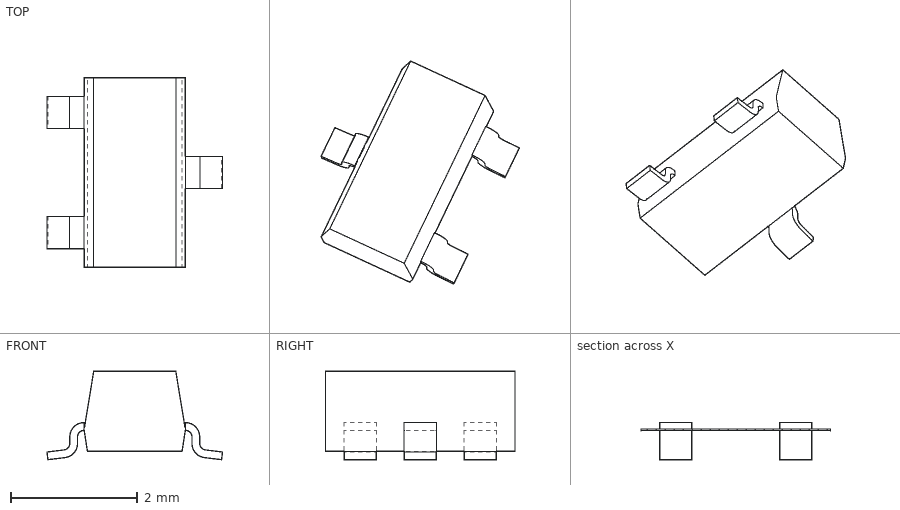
import cadquery as cq
import math

BODY_LENGTH = 3.0
BODY_HEIGHT = 1.27
BODY_BOTTOM = 0.132
WAIST_WIDTH = 1.602
TOP_WIDTH = 1.302
BOTTOM_WIDTH = 1.5
WAIST_RISE = 0.327
WAIST_HEIGHT = 0.03

SPAN = 2.78
LEAD_WIDTH = 0.513
LEAD_PITCH = 1.9
LEAD_THICKNESS = 0.125
LEAD_TOP = 0.59
INNER_RADIUS = 0.102
OUTER_RADIUS = INNER_RADIUS + LEAD_THICKNESS
FOOT_ANGLE = math.radians(7)


def make_housing():
    """Six-sided tapered section with a narrow vertical band at its waist."""
    waist_low = BODY_BOTTOM + WAIST_RISE
    right_side = [
        (BOTTOM_WIDTH / 2, BODY_BOTTOM),
        (WAIST_WIDTH / 2, waist_low),
        (WAIST_WIDTH / 2, waist_low + WAIST_HEIGHT),
        (TOP_WIDTH / 2, BODY_BOTTOM + BODY_HEIGHT),
    ]
    left_side = [(-x, z) for x, z in reversed(right_side)]
    return (
        cq.Workplane("XZ")
        .polyline(right_side + left_side)
        .close()
        .extrude(BODY_LENGTH / 2, both=True)
    )


def on_circle(center, radius, angle):
    """Point at the given angle, measured from +X toward +Z."""
    return (center[0] + radius * math.cos(angle), center[1] + radius * math.sin(angle))


def make_lead(y_center):
    """Gull-wing lead on the +X side, butting against the waist of the housing."""
    root_x = WAIST_WIDTH / 2
    shoulder = (root_x, LEAD_TOP - OUTER_RADIUS)

    tip_upper = (SPAN / 2, LEAD_THICKNESS * math.cos(FOOT_ANGLE))
    tip_lower = (SPAN / 2 - LEAD_THICKNESS * math.sin(FOOT_ANGLE), 0)

    ankle_x = root_x + OUTER_RADIUS + INNER_RADIUS
    heel_angle = 1.5 * math.pi - FOOT_ANGLE
    heel_x = ankle_x + INNER_RADIUS * math.cos(heel_angle)
    heel_z = tip_upper[1] + (tip_upper[0] - heel_x) * math.tan(FOOT_ANGLE)
    ankle = (ankle_x, heel_z - INNER_RADIUS * math.sin(heel_angle))
    middle_angle = (math.pi + heel_angle) / 2

    profile = (
        cq.Workplane("XZ", origin=(0, y_center, 0))
        .moveTo(root_x, LEAD_TOP)
        .threePointArc(
            on_circle(shoulder, OUTER_RADIUS, math.pi / 4),
            on_circle(shoulder, OUTER_RADIUS, 0),
        )
        .lineTo(*on_circle(ankle, INNER_RADIUS, math.pi))
        .threePointArc(
            on_circle(ankle, INNER_RADIUS, middle_angle),
            on_circle(ankle, INNER_RADIUS, heel_angle),
        )
        .lineTo(*tip_upper)
        .lineTo(*tip_lower)
        .lineTo(*on_circle(ankle, OUTER_RADIUS, heel_angle))
        .threePointArc(
            on_circle(ankle, OUTER_RADIUS, middle_angle),
            on_circle(ankle, OUTER_RADIUS, math.pi),
        )
        .lineTo(*on_circle(shoulder, INNER_RADIUS, 0))
        .threePointArc(
            on_circle(shoulder, INNER_RADIUS, math.pi / 4),
            on_circle(shoulder, INNER_RADIUS, math.pi / 2),
        )
        .close()
    )
    return profile.extrude(LEAD_WIDTH / 2, both=True)


housing = make_housing()

leads = [make_lead(0)]
for y_center in (-LEAD_PITCH / 2, LEAD_PITCH / 2):
    leads.append(make_lead(y_center).mirror("YZ"))

result = cq.Compound.makeCompound([housing.val(), *[lead.val() for lead in leads]])